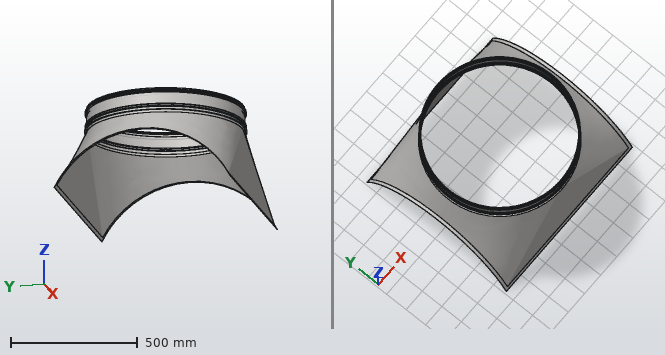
import cadquery as cq
import math

SHEET = 0.5
DUCT_R = 400.0
OPENING_HALF_X = 375.0
OPENING_HALF_Y = 350.0
RIM = 15.0
TOTAL_HEIGHT = 405.19
COLLAR_LENGTH = 100.0
NECK_LENGTH = 11.0

FOOT_ANGLE = math.asin(OPENING_HALF_Y / DUCT_R)
PLATE_ANGLE = FOOT_ANGLE + RIM / DUCT_R
PLATE_HALF_X = OPENING_HALF_X + RIM
PLATE_BOTTOM = (DUCT_R - SHEET) * math.cos(PLATE_ANGLE)

TOP = PLATE_BOTTOM + TOTAL_HEIGHT
TRANSITION_TOP = TOP - COLLAR_LENGTH
NECK_TOP = TRANSITION_TOP + NECK_LENGTH

COLLAR_R = 627.7 / 2
GROOVE_R = 623.9 / 2
GROOVE_START = 1.0
GROOVE_END = 32.0
GROOVE_BEND = 4.5
BEAD_R = 639.1 / 2
BEAD_FLANK_R = 634.1 / 2
BEAD_START = 64.0
BEAD_END = 77.0
BEAD_FLANK = 3.5

NECK_R = COLLAR_R + SHEET
NECK_FLANGE_R = 643.0 / 2

SEAL_TOP = TOP - GROOVE_START - GROOVE_BEND
SEAL_BASE_HEIGHT = 12.0
SEAL_KNEE_R = 631.7 / 2
SEAL_KNEE_DROP = 1.5
SEAL_CREASE_R = 634.1 / 2
SEAL_CREASE_DROP = 5.5
SEAL_LIP_R = 639.7 / 2
SEAL_LIP_DROP = 10.5
SEAL_LIP_EDGE = 1.5
SEAL_LIP_ROOT_DROP = 3.0


def revolve(points):
    """Solid of revolution about Z from a closed (radius, height) outline."""
    return cq.Workplane("XZ").polyline(points).close().revolve(360, (0, 0, 0), (0, 1, 0))


def transition_block(ring_r, foot_x, foot_r, top):
    """Solid block under a square-to-round skin, from a circle down to a saddle-shaped foot.

    Two flat triangles close the sides across the duct, four ruled faces the corners.
    """
    foot_y = foot_r * math.sin(FOOT_ANGLE)
    foot_z = foot_r * math.cos(FOOT_ANGLE)
    half_angle = FOOT_ANGLE / 2
    diagonal = ring_r * math.sqrt(0.5)

    def ring_arc(sx, sy):
        return cq.Edge.makeThreePointArc(
            cq.Vector(0, sy * ring_r, top),
            cq.Vector(sx * diagonal, sy * diagonal, top),
            cq.Vector(sx * ring_r, 0, top),
        )

    def foot_arc(sx, sy):
        return cq.Edge.makeThreePointArc(
            cq.Vector(sx * foot_x, sy * foot_y, foot_z),
            cq.Vector(sx * foot_x, sy * foot_r * math.sin(half_angle), foot_r * math.cos(half_angle)),
            cq.Vector(sx * foot_x, 0, foot_r),
        )

    faces = []
    for sy in (-1, 1):
        triangle = [
            cq.Vector(0, sy * ring_r, top),
            cq.Vector(-foot_x, sy * foot_y, foot_z),
            cq.Vector(foot_x, sy * foot_y, foot_z),
        ]
        faces.append(cq.Face.makeFromWires(cq.Wire.makePolygon(triangle, close=True)))
        faces.append(cq.Face.makeRuledSurface(foot_arc(-1, sy), foot_arc(1, sy)))
        for sx in (-1, 1):
            faces.append(cq.Face.makeRuledSurface(ring_arc(sx, sy), foot_arc(sx, sy)))
    ring = [ring_arc(sx, sy) for sx, sy in ((1, 1), (1, -1), (-1, -1), (-1, 1))]
    faces.append(cq.Face.makeFromWires(cq.Wire.assembleEdges(ring)))
    shell = cq.Shell.makeShell(faces)
    return cq.Workplane(cq.Solid.makeSolid(shell).fix())


def saddle_plate():
    """Curved plate on the duct, cut to a sector with radial edges."""
    reach = 2 * DUCT_R
    sector = (
        cq.Workplane("YZ")
        .polyline([
            (0, 0),
            (reach * math.sin(PLATE_ANGLE), reach * math.cos(PLATE_ANGLE)),
            (0, reach * 2),
            (-reach * math.sin(PLATE_ANGLE), reach * math.cos(PLATE_ANGLE)),
        ])
        .close()
        .extrude(PLATE_HALF_X, both=True)
    )
    tube = cq.Workplane("YZ").circle(DUCT_R).circle(DUCT_R - SHEET).extrude(PLATE_HALF_X, both=True)
    return tube.intersect(sector)


def make_saddle():
    """Plate, square-to-round transition and flanged neck, one sheet metal body."""
    outer = transition_block(NECK_R, OPENING_HALF_X, DUCT_R, TRANSITION_TOP)
    inner = transition_block(COLLAR_R, OPENING_HALF_X - SHEET, DUCT_R - SHEET, TRANSITION_TOP)
    neck = revolve([
        (COLLAR_R, TRANSITION_TOP),
        (NECK_R, TRANSITION_TOP),
        (NECK_R, NECK_TOP - SHEET),
        (NECK_FLANGE_R, NECK_TOP - SHEET),
        (NECK_FLANGE_R, NECK_TOP),
        (COLLAR_R, NECK_TOP),
    ])
    return saddle_plate().union(outer).cut(inner).union(neck)


def collar_core(inset):
    """Solid round bar with the collar's side profile, its radius reduced by the inset."""
    def at(radius, depth):
        return (radius - inset, TOP - depth)

    bend_r = (COLLAR_R + GROOVE_R) / 2
    half_bend = GROOVE_BEND / 2
    profile = (
        cq.Workplane("XZ")
        .moveTo(0, TOP)
        .lineTo(*at(COLLAR_R, 0))
        .lineTo(*at(COLLAR_R, GROOVE_START))
        .tangentArcPoint(at(bend_r, GROOVE_START + half_bend), relative=False)
        .tangentArcPoint(at(GROOVE_R, GROOVE_START + GROOVE_BEND), relative=False)
        .lineTo(*at(GROOVE_R, GROOVE_END - GROOVE_BEND))
        .tangentArcPoint(at(bend_r, GROOVE_END - half_bend), relative=False)
        .tangentArcPoint(at(COLLAR_R, GROOVE_END), relative=False)
        .lineTo(*at(COLLAR_R, BEAD_START))
        .lineTo(*at(BEAD_FLANK_R, BEAD_START + BEAD_FLANK))
        .threePointArc(
            at(BEAD_R, (BEAD_START + BEAD_END) / 2),
            at(BEAD_FLANK_R, BEAD_END - BEAD_FLANK),
        )
        .lineTo(*at(COLLAR_R, BEAD_END))
        .lineTo(*at(COLLAR_R, COLLAR_LENGTH))
        .lineTo(0, TOP - COLLAR_LENGTH)
        .close()
    )
    return profile.revolve(360, (0, 0, 0), (0, 1, 0))


def make_collar():
    """Thin round collar with a seal groove near the top and a stop bead above the neck."""
    return collar_core(0).cut(collar_core(SHEET))


def make_seal():
    """Rubber ring on the groove floor with one lip flaring outwards and down."""
    return revolve([
        (GROOVE_R, SEAL_TOP),
        (COLLAR_R, SEAL_TOP),
        (SEAL_KNEE_R, SEAL_TOP - SEAL_KNEE_DROP),
        (SEAL_CREASE_R, SEAL_TOP - SEAL_CREASE_DROP),
        (SEAL_LIP_R, SEAL_TOP - SEAL_LIP_DROP + SEAL_LIP_EDGE),
        (SEAL_LIP_R, SEAL_TOP - SEAL_LIP_DROP),
        (COLLAR_R, SEAL_TOP - SEAL_LIP_ROOT_DROP),
        (COLLAR_R, SEAL_TOP - SEAL_BASE_HEIGHT),
        (GROOVE_R, SEAL_TOP - SEAL_BASE_HEIGHT),
    ])


saddle = make_saddle()
collar = make_collar()
seal = make_seal()

result = cq.Compound.makeCompound([*saddle.solids().vals(), collar.val(), seal.val()])